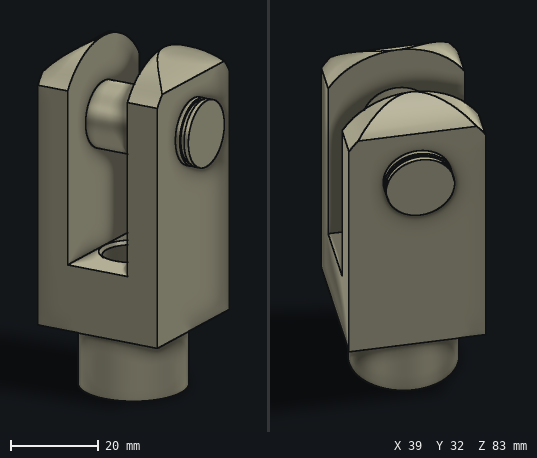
import cadquery as cq
import math

pin_diameter = 16.0
fork_width = 2 * pin_diameter
slot_width = pin_diameter
total_height = 83.0
shank_height = 16.0
shank_diameter = 25.6
slot_floor = 2 * shank_height
bore_diameter = 14.4
bore_mouth_diameter = 16.0

pin_height = 64.0
pin_length = 39.0
groove_diameter = 15.0
groove_width = 1.2
pin_head_width = 1.2

crown_rise = total_height - pin_height
shoulder_radius = math.hypot(crown_rise, slot_width / 2)


def cylinder_along_x(diameter, length, x_center):
    """Solid cylinder on the pin axis, centred at x_center."""
    return (
        cq.Workplane("YZ", origin=(x_center - length / 2, 0, pin_height))
        .circle(diameter / 2)
        .extrude(length)
    )


def crowned_outline(plane, radius):
    """Fork-wide block whose top is an arc centred at the pin height."""
    half_width = fork_width / 2
    arc_end = pin_height + math.sqrt(radius**2 - half_width**2)
    return (
        cq.Workplane(plane)
        .moveTo(-half_width, shank_height)
        .lineTo(-half_width, arc_end)
        .threePointArc((0, pin_height + radius), (half_width, arc_end))
        .lineTo(half_width, shank_height)
        .close()
        .extrude(fork_width / 2, both=True)
    )


def make_fork():
    """Block rounded in both directions, slotted between its arms."""
    side_rounded = crowned_outline("YZ", crown_rise)
    shoulder_rounded = crowned_outline("XZ", shoulder_radius)
    slot = (
        cq.Workplane("XY", origin=(0, 0, slot_floor))
        .rect(slot_width, fork_width)
        .extrude(total_height - slot_floor)
    )
    return side_rounded.intersect(shoulder_rounded).cut(slot)


def make_bore():
    """Axial hole from the shank end to the slot, countersunk at the slot floor."""
    bore_radius = bore_diameter / 2
    mouth_radius = bore_mouth_diameter / 2
    mouth_depth = mouth_radius - bore_radius
    return (
        cq.Workplane("XZ")
        .polyline([
            (0, 0),
            (bore_radius, 0),
            (bore_radius, slot_floor - mouth_depth),
            (mouth_radius, slot_floor),
            (0, slot_floor),
        ])
        .close()
        .revolve(360, (0, 0), (0, 1))
    )


def make_pin():
    """Cross pin with a retaining-ring groove near each end."""
    pin = cylinder_along_x(pin_diameter, pin_length, 0)
    groove_center = pin_length / 2 - pin_head_width - groove_width / 2
    for side in (-1, 1):
        x_center = side * groove_center
        ring = cylinder_along_x(pin_diameter, groove_width, x_center).cut(
            cylinder_along_x(groove_diameter, groove_width, x_center)
        )
        pin = pin.cut(ring)
    return pin


shank = cq.Workplane("XY").circle(shank_diameter / 2).extrude(shank_height)
result = make_fork().union(shank).cut(make_bore()).union(make_pin())